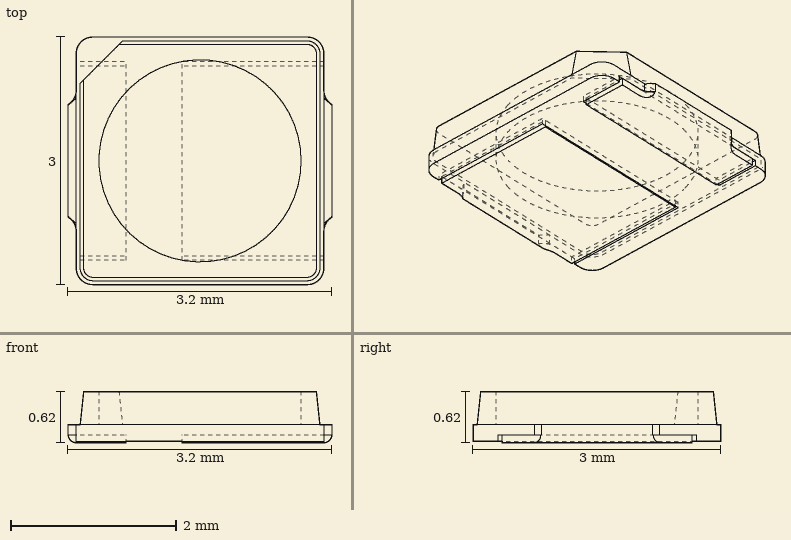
import cadquery as cq
import math

overall_length = 3.2
base_side = 3.0
base_corner_radius = 0.2
standoff = 0.02
base_top = 0.22
overall_height = 0.62

rim_side = 2.905
rim_corner_radius = 0.157
rim_draft = 6.0
polarity_chamfer = 0.515

lens_diameter = 2.448

lead_thickness = 0.1
lead_width = 2.3
pocket_clearance = 0.05
cathode_inner_end = -0.9
anode_inner_end = -0.22
tab_tip_width = 1.345
tab_root_width = 1.517
shoulder_spacing = 1.705
tab_root_radius = 0.2
bend_radius = 0.11

half_base = base_side / 2
half_tip = tab_tip_width / 2
half_root = tab_root_width / 2
rim_height = overall_height - base_top
tab_reach = overall_length / 2 - half_base
lens_depth = rim_height


def slab(x_start, x_end, width, height):
    """Box between two X positions, centred on Y = 0 and standing on Z = 0."""
    return (
        cq.Workplane("XY")
        .box(abs(x_end - x_start), width, height, centered=(True, True, False))
        .translate(((x_start + x_end) / 2, 0, 0))
    )


def lead_body(side, inner_end):
    """Flat lead with an upturned tab on the outside; side is -1 for the -X end, +1 for the +X end."""
    face = side * half_base
    tip = side * overall_length / 2
    plate = slab(inner_end, face, lead_width, lead_thickness)

    tab = (
        cq.Workplane("XY")
        .moveTo(face, -half_root)
        .lineTo(tip, -half_tip)
        .lineTo(tip, half_tip)
        .lineTo(face, half_root)
        .close()
        .extrude(base_top)
    )

    arc_angle = math.acos(1 - tab_reach / tab_root_radius)
    arc_start = shoulder_spacing / 2
    arc_end = arc_start - tab_root_radius * math.sin(arc_angle)
    arc_mid_x = face + side * tab_root_radius * (1 - math.cos(arc_angle / 2))
    arc_mid_y = arc_start - tab_root_radius * math.sin(arc_angle / 2)
    roots = (
        cq.Workplane("XY")
        .moveTo(face, -arc_start)
        .threePointArc((arc_mid_x, -arc_mid_y), (tip, -arc_end))
        .lineTo(tip, arc_end)
        .threePointArc((arc_mid_x, arc_mid_y), (face, arc_start))
        .close()
        .extrude(lead_thickness)
    )

    envelope = (
        slab(inner_end, tip, lead_width, base_top)
        .edges("|Y and <Z")
        .edges("<X" if side < 0 else ">X")
        .fillet(bend_radius)
    )
    return plate.union(tab).union(roots).intersect(envelope)


def lead_pocket(side, inner_end):
    """Recess in the underside of the housing, open at the end face and wider than its lead."""
    pocket_width = lead_width + 2 * pocket_clearance
    return slab(inner_end, side * half_base, pocket_width, lead_thickness)


def lens_body():
    """Disc whose top lies flush with the top of the housing."""
    return (
        cq.Workplane("XY")
        .workplane(offset=overall_height - lens_depth)
        .circle(lens_diameter / 2)
        .extrude(lens_depth)
    )


def rim_block():
    """Tapered upper block with conical corners and a vertical polarity cut."""
    footprint = cq.Sketch().rect(rim_side, rim_side).vertices().fillet(rim_corner_radius)
    block = (
        cq.Workplane("XY")
        .workplane(offset=base_top)
        .placeSketch(footprint)
        .extrude(rim_height, taper=rim_draft)
    )
    half_rim = rim_side / 2
    corner_cut = (
        cq.Workplane("XY")
        .workplane(offset=base_top)
        .moveTo(-half_rim, half_rim)
        .lineTo(-half_rim, half_rim - polarity_chamfer)
        .lineTo(-half_rim + polarity_chamfer, half_rim)
        .close()
        .extrude(rim_height)
    )
    return block.cut(corner_cut)


def housing_body(leads):
    """Base and rim, hollowed for the lens and recessed for the leads."""
    base = (
        cq.Workplane("XY")
        .workplane(offset=standoff)
        .rect(base_side, base_side)
        .extrude(base_top - standoff)
        .edges("|Z")
        .fillet(base_corner_radius)
    )
    body = base.union(rim_block()).cut(lens_body())
    for side, inner_end in leads:
        body = body.cut(lead_pocket(side, inner_end))
    return body


lead_layout = [(-1, cathode_inner_end), (1, anode_inner_end)]
housing = housing_body(lead_layout)
lens = lens_body()
leads = [lead_body(side, inner_end) for side, inner_end in lead_layout]

result = cq.Compound.makeCompound(
    [
        housing.solids().val(),
        lens.val(),
        *[lead.solids().val() for lead in leads],
    ]
)